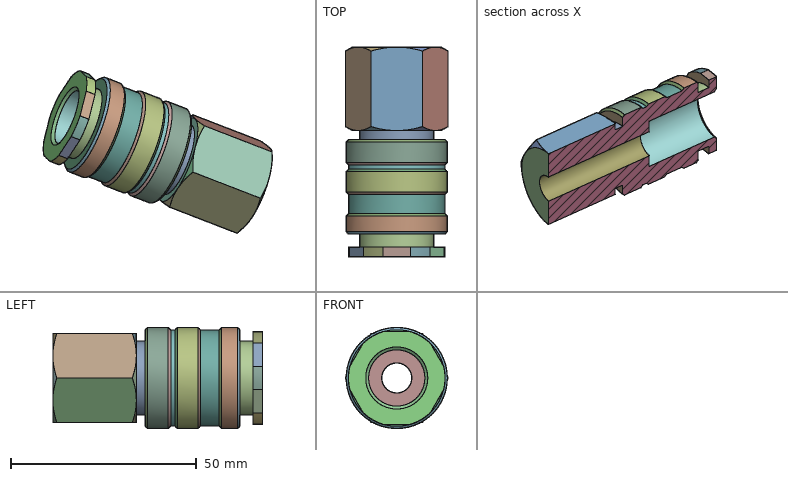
import cadquery as cq
import math

length = 56.5

nut_front = 34.0
nut_flats = 24.0
nut_bevel_angle = 30.0

sleeve_front = 6.1
sleeve_rear = 31.65
sleeve_diameter = 27.3
sleeve_radius = sleeve_diameter / 2
groove_radius = 13.0
edge_bevel = 0.7
wide_groove = (11.7, 16.8)
narrow_groove = (23.6, 24.75)

neck_radius = 10.0
flange_thickness = 2.65
flange_radius = 13.05
flange_flats = 25.05

socket_radius = 7.55
socket_depth = 22.6
socket_bevel = 0.8
passage_radius = 4.0


def cylinder(radius, start, end):
    """Cylinder around the Y axis between two Y positions."""
    return cq.Workplane("XZ", origin=(0, start, 0)).circle(radius).extrude(start - end)


def hexagon(flats, start, end):
    """Hexagonal bar along Y with corners on the X axis."""
    corner_diameter = flats / math.cos(math.pi / 6)
    return cq.Workplane("XZ", origin=(0, start, 0)).polygon(6, corner_diameter).extrude(start - end)


def revolve_profile(points):
    """Revolve a closed (radius, Y) outline around the Y axis."""
    return cq.Workplane("XY").polyline(points).close().revolve(360, (0, 0), (0, 1))


def make_nut():
    """Hexagon with conical bevels that cut its corners at both ends."""
    face_radius = nut_flats / 2
    corner_radius = face_radius / math.cos(math.pi / 6)
    bevel_length = (corner_radius - face_radius) * math.tan(math.radians(nut_bevel_angle))
    envelope = revolve_profile([
        (0, nut_front),
        (face_radius, nut_front),
        (corner_radius, nut_front + bevel_length),
        (corner_radius, length - bevel_length),
        (face_radius, length),
        (0, length),
    ])
    return hexagon(nut_flats, nut_front, length).intersect(envelope)


def make_rib(start, end):
    """Raised sleeve band with a bevel at each end."""
    return revolve_profile([
        (0, start),
        (groove_radius, start),
        (sleeve_radius, start + edge_bevel),
        (sleeve_radius, end - edge_bevel),
        (groove_radius, end),
        (0, end),
    ])


def make_sleeve():
    """Groove-diameter cylinder carrying three raised bands."""
    sleeve = cylinder(groove_radius, sleeve_front, sleeve_rear)
    rib_starts = (sleeve_front, wide_groove[1], narrow_groove[1])
    rib_ends = (wide_groove[0], narrow_groove[0], sleeve_rear)
    for start, end in zip(rib_starts, rib_ends):
        sleeve = sleeve.union(make_rib(start, end))
    return sleeve


def make_flange():
    """Round front flange with six flats."""
    flange = cylinder(flange_radius, 0, flange_thickness)
    return flange.intersect(hexagon(flange_flats, 0, flange_thickness))


def make_passage():
    """Bevelled plug socket that steps down to a through hole."""
    socket = revolve_profile([
        (0, 0),
        (socket_radius + socket_bevel, 0),
        (socket_radius, socket_bevel),
        (socket_radius, socket_depth),
        (0, socket_depth),
    ])
    return socket.union(cylinder(passage_radius, 0, length))


core = cylinder(neck_radius, 0, length)
body = core.union(make_nut()).union(make_sleeve()).union(make_flange())
result = body.cut(make_passage())